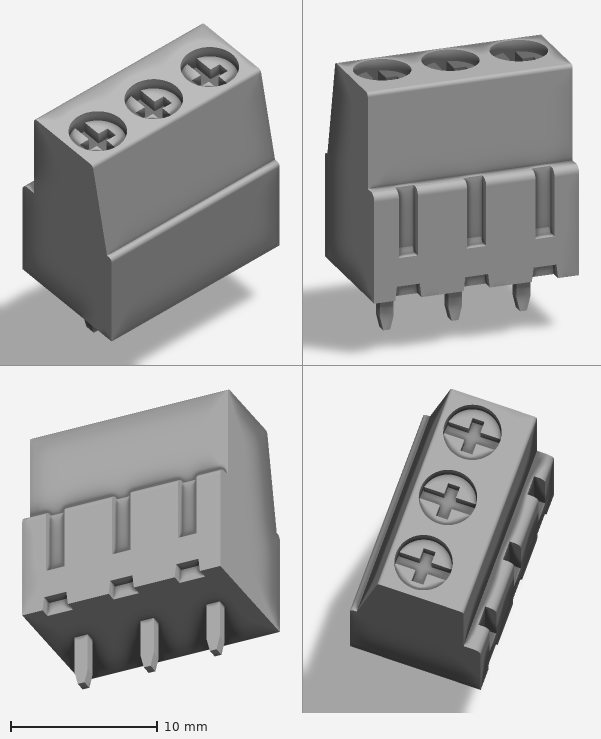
import cadquery as cq

POLES = 3
PITCH = 5.0
LENGTH = POLES * PITCH
DEPTH = 9.5
TOTAL_HEIGHT = 18.8
PIN_LENGTH = 3.8
HEIGHT = TOTAL_HEIGHT - PIN_LENGTH

LEDGE_Z = 7.99
LEDGE_WIDTH = 1.25
LEDGE_RADIUS = 0.53
REAR_STEP_Z = 7.69
REAR_STEP_X = 9.0
REAR_STEP_RADIUS = 0.3
TOP_REAR_X = 7.48
TOP_RADIUS = 0.28

SCREW_X = 5.04
SCREW_HOLE_DIAMETER = 4.0
SCREW_DIAMETER = 3.9
SCREW_RECESS = 0.8
DRIVE_DEPTH = 0.9
DRIVE_WIDTH = 0.86
CROSS_LENGTH = 2.5

SLOT_WIDTH = 1.4
SLOT_DEPTH = 0.8
SLOT_BOTTOM_Z = 3.1
RAMP_WIDTH = 1.26
RAMP_RUN = 0.23
RAMP_RISE = 0.41

NOTCH_BOTTOM_WIDTH = 1.92
NOTCH_TOP_WIDTH = 1.67
NOTCH_HEIGHT = 1.02
NOTCH_DEPTH = 0.8

PIN_X = 4.53
PIN_THICKNESS = 0.79
PIN_WIDTH = 1.0
PIN_TIP_WIDTH = 0.5
PIN_TAPER_LENGTH = 1.0


def extrude_along_y(points, y_center, width):
    """Extrude an XZ outline by width, centred on y_center."""
    plane = cq.Plane(origin=(0, y_center, 0), xDir=(1, 0, 0), normal=(0, -1, 0))
    return cq.Workplane(plane).polyline(points).close().extrude(width / 2, both=True)


def extrude_along_x(points, x_start, y_center, depth):
    """Extrude a YZ outline from x_start towards +X."""
    return cq.Workplane("YZ", origin=(x_start, y_center, 0)).polyline(points).close().extrude(depth)


def round_edge(body, x, z, radius):
    """Round the lengthwise edge that passes through (x, z)."""
    return body.edges(cq.selectors.NearestToPointSelector((x, 0, z))).fillet(radius)


def make_housing():
    outline = [
        (0, 0),
        (DEPTH, 0),
        (DEPTH, REAR_STEP_Z),
        (REAR_STEP_X, REAR_STEP_Z),
        (TOP_REAR_X, HEIGHT),
        (LEDGE_WIDTH, HEIGHT),
        (LEDGE_WIDTH, LEDGE_Z),
        (0, LEDGE_Z),
    ]
    body = extrude_along_y(outline, 0, LENGTH)
    body = round_edge(body, 0, LEDGE_Z, LEDGE_RADIUS)
    body = round_edge(body, DEPTH, REAR_STEP_Z, REAR_STEP_RADIUS)
    body = round_edge(body, LEDGE_WIDTH, HEIGHT, TOP_RADIUS)
    return round_edge(body, TOP_REAR_X, HEIGHT, TOP_RADIUS)


def make_screw_cavity(y):
    """Recess over the screw head, the gap around the head and its drive slots."""
    drive_bottom_z = HEIGHT - SCREW_RECESS - DRIVE_DEPTH
    bottom = cq.Workplane("XY", origin=(SCREW_X, y, drive_bottom_z))
    hole = bottom.circle(SCREW_HOLE_DIAMETER / 2).extrude(SCREW_RECESS + DRIVE_DEPTH)
    head = bottom.circle(SCREW_DIAMETER / 2).extrude(DRIVE_DEPTH)
    long_slot = bottom.rect(SCREW_HOLE_DIAMETER, DRIVE_WIDTH).extrude(DRIVE_DEPTH)
    cross_slot = bottom.rect(DRIVE_WIDTH, CROSS_LENGTH).extrude(DRIVE_DEPTH)
    return hole.cut(head.cut(long_slot).cut(cross_slot))


def make_test_slot(y):
    """Open-topped slot, less the narrow ramp left standing at its foot."""
    slot_outline = [
        (0, SLOT_BOTTOM_Z),
        (SLOT_DEPTH, SLOT_BOTTOM_Z),
        (SLOT_DEPTH, LEDGE_Z),
        (0, LEDGE_Z),
    ]
    ramp_outline = [
        (SLOT_DEPTH - RAMP_RUN, SLOT_BOTTOM_Z),
        (SLOT_DEPTH, SLOT_BOTTOM_Z),
        (SLOT_DEPTH, SLOT_BOTTOM_Z + RAMP_RISE),
    ]
    slot = extrude_along_y(slot_outline, y, SLOT_WIDTH)
    return slot.cut(extrude_along_y(ramp_outline, y, RAMP_WIDTH))


def make_notch(y):
    outline = [
        (-NOTCH_BOTTOM_WIDTH / 2, 0),
        (NOTCH_BOTTOM_WIDTH / 2, 0),
        (NOTCH_TOP_WIDTH / 2, NOTCH_HEIGHT),
        (-NOTCH_TOP_WIDTH / 2, NOTCH_HEIGHT),
    ]
    return extrude_along_x(outline, 0, y, NOTCH_DEPTH)


def make_pin(y):
    taper_z = PIN_TAPER_LENGTH - PIN_LENGTH
    outline = [
        (-PIN_WIDTH / 2, 0),
        (-PIN_WIDTH / 2, taper_z),
        (-PIN_TIP_WIDTH / 2, -PIN_LENGTH),
        (PIN_TIP_WIDTH / 2, -PIN_LENGTH),
        (PIN_WIDTH / 2, taper_z),
        (PIN_WIDTH / 2, 0),
    ]
    return extrude_along_x(outline, PIN_X - PIN_THICKNESS / 2, y, PIN_THICKNESS)


result = make_housing()
for pole in range(POLES):
    pole_y = (pole - (POLES - 1) / 2) * PITCH
    result = result.cut(make_screw_cavity(pole_y))
    result = result.cut(make_test_slot(pole_y))
    result = result.cut(make_notch(pole_y))
    result = result.union(make_pin(pole_y))